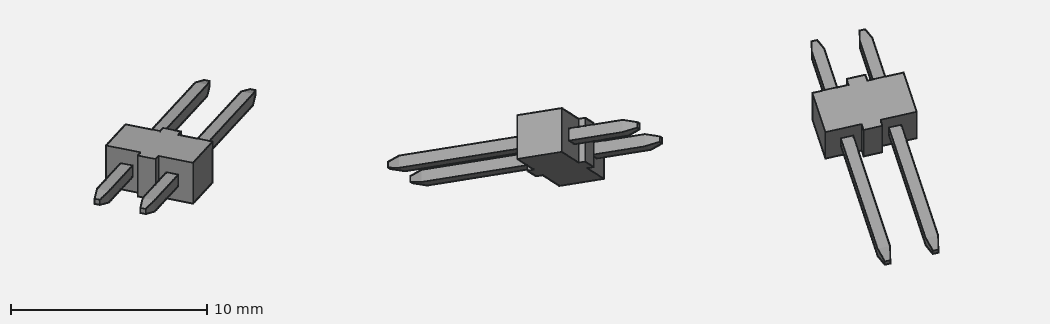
import cadquery as cq


PIN_COUNT = 2
PITCH = 2.54
BODY_WIDTH = 4.83
BODY_DEPTH = 2.54
BODY_HEIGHT = 2.36
RIB_WIDTH = 1.0
RIB_PROJECTION = 0.38
PIN_SIZE = 0.66
TIP_SIZE = 0.3
TAPER_LENGTH = 0.74
FRONT_PIN_LENGTH = 3.81
REAR_PIN_LENGTH = 7.87

FRONT_TIP_Y = -BODY_DEPTH / 2 - FRONT_PIN_LENGTH
REAR_TIP_Y = BODY_DEPTH / 2 + REAR_PIN_LENGTH
SHANK_LENGTH = REAR_TIP_Y - FRONT_TIP_Y - 2 * TAPER_LENGTH
FIRST_PIN_X = -PITCH * (PIN_COUNT - 1) / 2


def make_body():
    """Block with a full-height rib standing out from its -Y and +Y faces."""
    block = cq.Workplane("XY").box(BODY_WIDTH, BODY_DEPTH, BODY_HEIGHT)
    rib = cq.Workplane("XY").box(RIB_WIDTH, BODY_DEPTH + 2 * RIB_PROJECTION, BODY_HEIGHT)
    return block.union(rib)


def make_point(x, tip_y, inward):
    """Tapered pin end; inward is the Y direction (+1 or -1) from the tip to the shank."""
    tip_plane = cq.Plane(origin=(x, tip_y, 0), xDir=(1, 0, 0), normal=(0, inward, 0))
    return (
        cq.Workplane(tip_plane)
        .rect(TIP_SIZE, TIP_SIZE)
        .workplane(offset=TAPER_LENGTH)
        .rect(PIN_SIZE, PIN_SIZE)
        .loft(ruled=True)
    )


def make_pin(x):
    """Square pin through the block, pointed at both ends."""
    shank_center_y = (FRONT_TIP_Y + REAR_TIP_Y) / 2
    shank = cq.Workplane("XY").box(PIN_SIZE, SHANK_LENGTH, PIN_SIZE).translate((x, shank_center_y, 0))
    front_point = make_point(x, FRONT_TIP_Y, 1)
    rear_point = make_point(x, REAR_TIP_Y, -1)
    return shank.union(front_point).union(rear_point)


result = make_body()
for index in range(PIN_COUNT):
    result = result.union(make_pin(FIRST_PIN_X + index * PITCH))